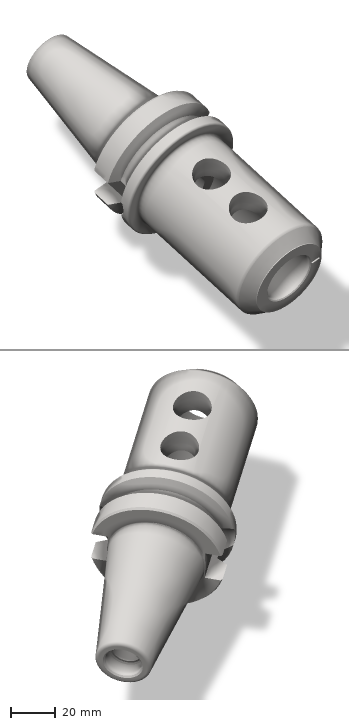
import cadquery as cq

taper_end = 65.3
taper_large_d = 44.6
taper_ratio = 7 / 24
taper_small_d = taper_large_d - taper_ratio * taper_end
taper_tip_round = 1.7
neck_round = 0.5

flange_d = 63.0
flange_start = 66.8
flange_end = 92.4
flange_chamfer_length = 1.0
flange_chamfer_depth = 0.7
groove_d = 53.0
groove_left_edge = 76.8
groove_floor_start = 79.7
groove_floor_end = 83.8
groove_right_edge = 86.7
rim_round = 1.0
flange_root_round = 0.8

body_d = 50.8
cone_start = 160.0
cone_end = 166.0
nose_d = body_d - 2 * (cone_end - cone_start)
cone_round = 1.7
face_x = 166.3

slot_width = 16.2
slot_end = 88.7
slot_floor_y = 22.4

socket_d = 25.4
socket_start = 100.2
socket_mouth_d = 26.4
thread_bore_d = 13.9
pilot_d = 17.0
pilot_mouth_d = 18.5
pilot_depth = 8.4
pilot_corner_chamfer = 0.7

screw_d = 17.5
first_screw_x = 113.0
screw_pitch = 25.2
screw_count = 2

overall_length = 167.0
mark_inner_y = 13.4
mark_outer_y = 17.7
mark_thickness = 0.5


def revolve_about_x(points):
    """Turn a closed outline of (x, radius) points about the X axis."""
    return cq.Workplane("XY").polyline(points).close().revolve(360, (0, 0, 0), (1, 0, 0))


def round_circle(solid, x, diameter, radius):
    """Round the circular edge of the given diameter at station x."""
    reach = 0.08
    ring = cq.selectors.BoxSelector(
        (x - reach, -diameter, -diameter), (x + reach, diameter, diameter)
    )
    edges = [
        edge for edge in solid.edges(ring).vals()
        if edge.geomType() == "CIRCLE" and abs(edge.radius() - diameter / 2) < reach
    ]
    return solid.newObject(edges).fillet(radius)


def make_outside():
    flange_r = flange_d / 2
    chamfer_r = flange_r - flange_chamfer_depth
    solid = revolve_about_x([
        (0, 0),
        (0, taper_small_d / 2),
        (taper_end, taper_large_d / 2),
        (flange_start, taper_large_d / 2),
        (flange_start, chamfer_r),
        (flange_start + flange_chamfer_length, flange_r),
        (groove_left_edge, flange_r),
        (groove_floor_start, groove_d / 2),
        (groove_floor_end, groove_d / 2),
        (groove_right_edge, flange_r),
        (flange_end, flange_r),
        (flange_end, body_d / 2),
        (cone_start, body_d / 2),
        (cone_end, nose_d / 2),
        (face_x, nose_d / 2),
        (face_x, 0),
    ])
    rounds = [
        (0, taper_small_d, taper_tip_round),
        (flange_start, taper_large_d, neck_round),
        (flange_end, flange_d, rim_round),
        (flange_end, body_d, flange_root_round),
        (cone_start, body_d, cone_round),
    ]
    for x, diameter, radius in rounds:
        solid = round_circle(solid, x, diameter, radius)
    return solid


def make_bores():
    pilot_chamfer = (pilot_mouth_d - pilot_d) / 2
    socket_chamfer = (socket_mouth_d - socket_d) / 2
    return revolve_about_x([
        (0, 0),
        (0, pilot_mouth_d / 2),
        (pilot_chamfer, pilot_d / 2),
        (pilot_depth - pilot_corner_chamfer, pilot_d / 2),
        (pilot_depth, pilot_d / 2 - pilot_corner_chamfer),
        (pilot_depth, thread_bore_d / 2),
        (socket_start, thread_bore_d / 2),
        (socket_start, socket_d / 2),
        (face_x - socket_chamfer, socket_d / 2),
        (face_x, socket_mouth_d / 2),
        (face_x, 0),
    ])


def make_drive_slot(side):
    """Round-ended slot, open toward the taper; side is -1 or +1 along Y."""
    centre_x = slot_end - slot_width / 2
    length = centre_x - flange_start
    depth = flange_d / 2 - slot_floor_y
    middle_y = side * (slot_floor_y + depth / 2)
    channel = cq.Workplane("XY").box(length, depth, slot_width)
    channel = channel.translate((flange_start + length / 2, middle_y, 0))
    round_end = cq.Workplane("XZ", origin=(centre_x, middle_y, 0)).circle(slot_width / 2)
    return channel.union(round_end.extrude(depth / 2, both=True))


def make_screw_hole(x):
    return cq.Workplane("XY", origin=(x, 0, 0)).circle(screw_d / 2).extrude(body_d / 2)


def make_mark():
    return cq.Workplane("XY").box(
        overall_length - face_x, mark_outer_y - mark_inner_y, mark_thickness
    ).translate(((overall_length + face_x) / 2, (mark_outer_y + mark_inner_y) / 2, 0))


result = make_outside().cut(make_bores())
for side in (-1, 1):
    result = result.cut(make_drive_slot(side))
for index in range(screw_count):
    result = result.cut(make_screw_hole(first_screw_x + index * screw_pitch))
result = result.union(make_mark())